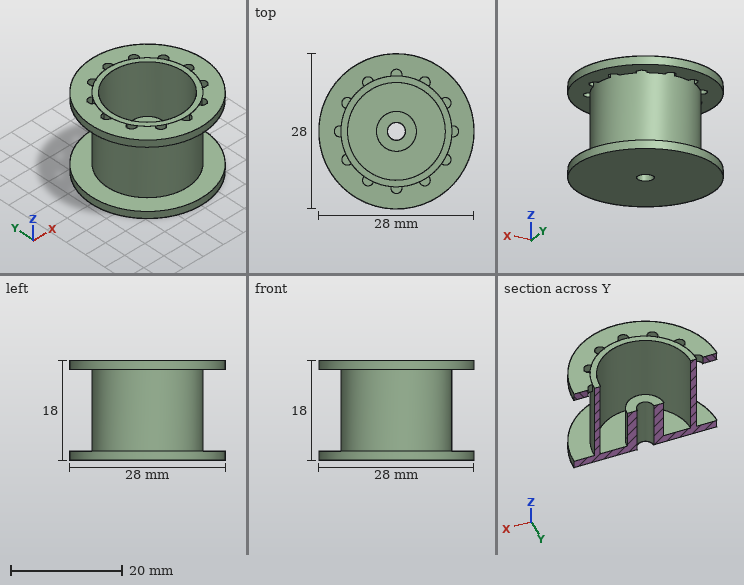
import cadquery as cq

flange_diameter = 28.0
overall_height = 18.0
flange_thickness = 1.65

drum_diameter = 20.0
drum_bore_diameter = 17.6

hub_diameter = 7.2
hub_top_height = 9.6
shaft_hole_diameter = 3.2

notch_count = 12
notch_diameter = 2.0
notch_circle_radius = 10.2


def cylinder(diameter, bottom, top):
    """Upright cylinder on the Z axis between two heights."""
    return cq.Workplane("XY", origin=(0, 0, bottom)).circle(diameter / 2).extrude(top - bottom)


def make_spool():
    """Lower flange with the open drum, the central hub and the shaft hole."""
    lower_flange = cylinder(flange_diameter, 0, flange_thickness)
    drum = cylinder(drum_diameter, 0, overall_height)
    drum_bore = cylinder(drum_bore_diameter, flange_thickness, overall_height)
    hub = cylinder(hub_diameter, 0, hub_top_height)
    shaft_hole = cylinder(shaft_hole_diameter, 0, hub_top_height)
    return lower_flange.union(drum).cut(drum_bore).union(hub).cut(shaft_hole)


def make_upper_flange():
    """Ring fitted around the top of the drum, with through notches open to its bore."""
    flange_bottom = overall_height - flange_thickness
    ring = cylinder(flange_diameter, flange_bottom, overall_height)
    ring_bore = cylinder(drum_diameter, flange_bottom, overall_height)
    notches = (
        cq.Workplane("XY", origin=(0, 0, flange_bottom))
        .polarArray(notch_circle_radius, 0, 360, notch_count)
        .circle(notch_diameter / 2)
        .extrude(flange_thickness)
    )
    return ring.cut(ring_bore).cut(notches)


spool = make_spool()
upper_flange = make_upper_flange()

result = cq.Compound.makeCompound([spool.val(), upper_flange.val()])